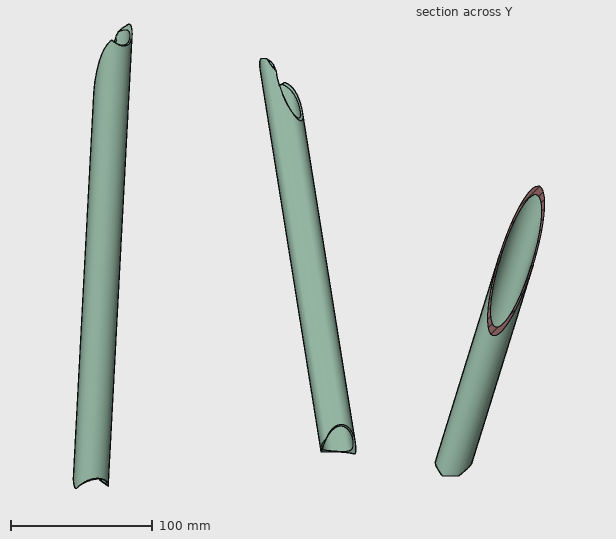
import cadquery as cq
import math

tube_diameter = 25.0
tube_radius = tube_diameter / 2
wall_thickness = 1.5
bore_radius = tube_radius - wall_thickness
blank_length = 423.7

tube_lean = cq.Vector(-0.31, 0.243, 1)
tube_center = cq.Vector(-1.5, 0, 0)

top_cross_height = 156.5
bottom_cross_height = -154.5
cross_radius = 12.7
cross_length = 302.5
block_size = 302.5

tip_height = 151.3

neighbor_lean = cq.Vector(0.14, 0.38, 1)
neighbor_center = cq.Vector(-49.3, 31.0, 145.3)
neighbor_length = 242.0

side_limit = -55.0

corner_point = cq.Vector(51.5, -27.0, -151.3)
corner_normal = cq.Vector(1, -0.26, -0.59)
corner_radius = 60.5
corner_depth = 60.5


def rod(center, direction, radius, length):
    """Solid round bar centred on a point and running along a direction."""
    start = center - direction.normalized() * (length / 2)
    return cq.Workplane(cq.Solid.makeCylinder(radius, length, start, direction))


def end_trim(cross_height, tip_limit):
    """Cross tube on the slanted axis, plus everything beyond the flat tip limit."""
    center = tube_center + tube_lean * cross_height
    cross_tube = rod(center, cq.Vector(1, 0, 0), cross_radius, cross_length)
    block_shift = math.copysign(block_size / 2, tip_limit)
    beyond = cq.Workplane().box(block_size, block_size, block_size)
    beyond = beyond.translate((0, 0, tip_limit + block_shift))
    return beyond.union(cross_tube)


outside = rod(tube_center, tube_lean, tube_radius, blank_length)
bore = rod(tube_center, tube_lean, bore_radius, blank_length)
tube = outside.cut(bore)

tube = tube.cut(end_trim(top_cross_height, tip_height))
tube = tube.cut(end_trim(bottom_cross_height, -tip_height))

tube = tube.cut(rod(neighbor_center, neighbor_lean, tube_radius, neighbor_length))

side_block = cq.Workplane().box(block_size, block_size, block_size)
tube = tube.cut(side_block.translate((side_limit - block_size / 2, 0, 0)))

corner_block = cq.Solid.makeCylinder(corner_radius, corner_depth, corner_point, corner_normal)
result = tube.cut(cq.Workplane(corner_block))